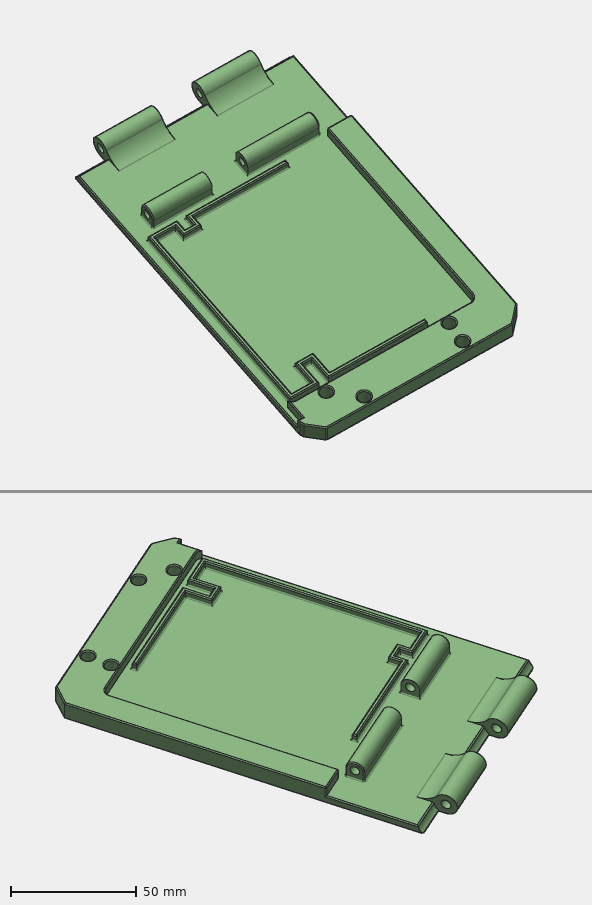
import cadquery as cq
import math

length = 173.0
width = 105.0
edge_break = 0.5

plate_left = 8.3
plate_top = 4.0
corner_cut = 7.3
front_corner_break = 1.0

frame_top = 8.6
frame_left = 50.7
recess_right = 154.5
recess_front = 2.0
recess_back = 93.0
recess_radius = 3.1
ledge_depth = 2.5
ledge_right = 163.1

barrel_radius = 5.0
barrel_length = 27.3
barrel_bore = 4.3
barrel_inset = 14.9
barrel_clearance = 5.5
blend_end = 17.8
blend_angle = 35

lug_x = 44.6
lug_radius = 4.2
lug_bore = 4.2
lug_top = 12.5
lug_axis_z = lug_top - lug_radius
lug_spans = [(9.7, 38.5), (55.9, 91.0)]

rim_thickness = 2.0
rim_top = 7.0
rim_left = 54.0
rim_right = 150.7
rim_front = 5.5
rim_back = 70.2
tab_front = 17.5
tab_back = 24.0
left_tab_depth = 5.5
right_tab_depth = 11.6

hole_diameter = 5.5
hole_centers = [(158.1, 17.5), (168.7, 28.5), (168.7, 76.5), (158.1, 77.3)]


def block(x0, x1, y0, y1, z0, z1):
    return cq.Workplane("XY").box(x1 - x0, y1 - y0, z1 - z0, centered=False).translate((x0, y0, z0))


def bar_along_y(profile, y0, y1):
    """Extrude an XZ sketch from y0 to y1."""
    return profile.extrude(-(y1 - y0)).translate((0, y0, 0))


def cylinder_along_y(x, z, radius, y0, y1):
    return bar_along_y(cq.Workplane("XZ").center(x, z).circle(radius), y0, y1)


def leaf_blank(left, top):
    """Slab with the two far corners cut off and its long edges beveled."""
    blank = block(left, length, 0, width, 0, top)
    blank = blank.edges("|Z and >X").chamfer(corner_cut)
    front_edge = cq.selectors.NearestToPointSelector((length - corner_cut, 0, top / 2))
    side_edge = cq.selectors.NearestToPointSelector((length, corner_cut, top / 2))
    blank = blank.edges(front_edge).chamfer(front_corner_break)
    blank = blank.edges(side_edge).chamfer(edge_break)
    blank = blank.edges("|Z and <X").chamfer(edge_break)
    return blank.faces("<Z").edges("not <X").chamfer(edge_break)


def base_plate():
    """Plate hollowed along its left edge to clear the mating barrel."""
    plate = leaf_blank(plate_left, plate_top)
    plate = plate.cut(cylinder_along_y(barrel_radius, barrel_radius, barrel_clearance, 0, width))
    return plate.faces(">Z").edges().chamfer(edge_break)


def frame():
    """Raised L-shaped frame around the back and right of the recess."""
    body = leaf_blank(frame_left, frame_top)
    recess = block(0, recess_right, recess_front, recess_back, 0, frame_top)
    body = body.cut(recess.edges("|Z and >X").fillet(recess_radius))
    body = body.cut(block(0, ledge_right, 0, ledge_depth, 0, frame_top))
    inner_end = cq.selectors.NearestToPointSelector((frame_left, recess_back, frame_top / 2))
    body = body.edges(inner_end).chamfer(edge_break)
    return body.faces(">Z").edges().chamfer(edge_break)


def hinge_barrel(y0):
    """Barrel joined to the plate by a concave arc that runs out tangent to the plate top."""
    y1 = y0 + barrel_length
    start_x = barrel_radius + barrel_radius * math.cos(math.radians(blend_angle))
    start_z = barrel_radius + barrel_radius * math.sin(math.radians(blend_angle))
    run = blend_end - start_x
    drop = start_z - plate_top
    blend_radius = (run**2 + drop**2) / (2 * drop)
    half_sweep = math.atan2(drop, run)
    middle_x = blend_end - blend_radius * math.sin(half_sweep)
    middle_z = plate_top + blend_radius * (1 - math.cos(half_sweep))
    web = (
        cq.Workplane("XZ")
        .moveTo(barrel_radius, 0)
        .lineTo(blend_end, 0)
        .lineTo(blend_end, plate_top)
        .threePointArc((middle_x, middle_z), (start_x, start_z))
        .lineTo(barrel_radius, barrel_radius)
        .close()
    )
    barrel = cylinder_along_y(barrel_radius, barrel_radius, barrel_radius, y0, y1)
    return barrel.union(bar_along_y(web, y0, y1))


def pin_lug(y0, y1):
    """Round-topped lug; its end nearest a long side of the plate is beveled."""
    profile = (
        cq.Workplane("XZ")
        .moveTo(lug_x - lug_radius, plate_top)
        .lineTo(lug_x - lug_radius, lug_axis_z)
        .threePointArc((lug_x, lug_top), (lug_x + lug_radius, lug_axis_z))
        .lineTo(lug_x + lug_radius, plate_top)
        .close()
    )
    lug = bar_along_y(profile, y0, y1)
    outer_end = "<Y" if y0 + y1 < width else ">Y"
    return lug.faces(outer_end).edges("not <Z").chamfer(edge_break)


def rim():
    """U-shaped rim whose arms each step inward around a small tab."""
    left_tab = rim_left + left_tab_depth
    right_tab = rim_right - right_tab_depth
    path = [
        (rim_left, rim_back),
        (rim_left, tab_back),
        (left_tab, tab_back),
        (left_tab, tab_front),
        (rim_left, tab_front),
        (rim_left, rim_front),
        (rim_right, rim_front),
        (rim_right, tab_front),
        (right_tab, tab_front),
        (right_tab, tab_back),
        (rim_right, tab_back),
        (rim_right, rim_back),
    ]
    half = rim_thickness / 2
    body = None
    for (xa, ya), (xb, yb) in zip(path, path[1:]):
        bar = block(
            min(xa, xb) - half, max(xa, xb) + half,
            min(ya, yb) - half, max(ya, yb) + half,
            plate_top, rim_top,
        )
        body = bar if body is None else body.union(bar)
    return body.clean().faces(">Z").edges().chamfer(edge_break)


def flare_foot(body, x0, x1, y0, y1):
    """Round the inside edges where the feature bounded by x0..x1, y0..y1 stands on the plate."""
    foot = cq.selectors.BoxSelector(
        (x0 - edge_break, y0 - edge_break, plate_top - edge_break / 2),
        (x1 + edge_break, y1 + edge_break, plate_top + edge_break / 2),
    )
    return body.edges(foot).fillet(edge_break)


def screw_hole(x, y):
    """Cutter for a through hole with a beveled mouth."""
    hole = cq.Workplane("XY").center(x, y).circle(hole_diameter / 2).extrude(frame_top)
    mouth = (
        cq.Workplane("XY", origin=(x, y, frame_top))
        .circle(hole_diameter / 2 + edge_break)
        .extrude(-edge_break, taper=45)
    )
    return hole.union(mouth)


result = base_plate().union(frame())

result = result.union(rim())
result = flare_foot(
    result,
    rim_left - rim_thickness / 2,
    rim_right + rim_thickness / 2,
    rim_front - rim_thickness / 2,
    rim_back + rim_thickness / 2,
)

for lug_start, lug_end in lug_spans:
    result = result.union(pin_lug(lug_start, lug_end))
    result = flare_foot(result, lug_x - lug_radius, lug_x + lug_radius, lug_start, lug_end)
    result = result.cut(cylinder_along_y(lug_x, lug_axis_z, lug_bore / 2, lug_start, lug_end))

for barrel_start in (barrel_inset, width - barrel_inset - barrel_length):
    barrel_end = barrel_start + barrel_length
    result = result.union(hinge_barrel(barrel_start))
    result = result.cut(
        cylinder_along_y(barrel_radius, barrel_radius, barrel_bore / 2, barrel_start, barrel_end)
    )

for x, y in hole_centers:
    result = result.cut(screw_hole(x, y))